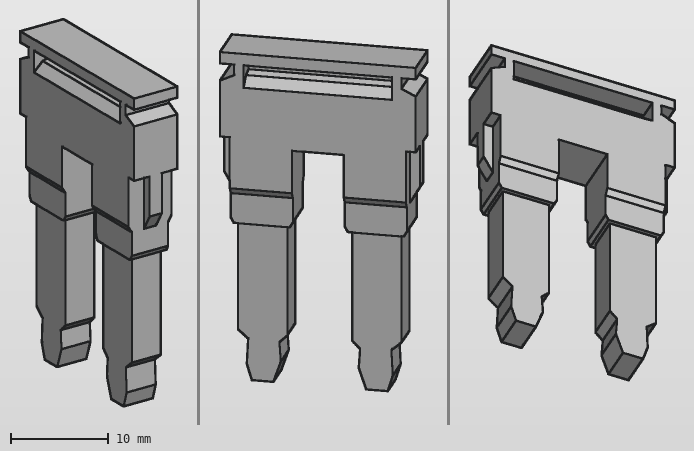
import cadquery as cq

WIDTH = 20.6
THICKNESS = 5.4
HEIGHT = 35.9
HALF_WIDTH = WIDTH / 2

CAP_BOTTOM = 34.65
NECK_HALF_WIDTH = 8.8
NECK_BOTTOM = 33.5
SHOULDER_TOP = 32.78

LEG_OUTER = 9.25
LEG_INNER = 2.73
LEG_TOP = 26.67
ARCH_TOP = 25.75
THIN_START = 21.1
THIN_END = 20.43
SLEEVE_THICKNESS = 4.52
SLEEVE_BOTTOM = 17.2
SLEEVE_CHAMFER_WIDTH = 0.32
SLEEVE_CHAMFER_HEIGHT = 0.57

RIB_THICKNESS = 1.5
RIB_TAPER_TOP = 22.2
RIB_BOTTOM = 20.43

PIN_THICKNESS = 3.63
PIN_INNER = 3.4
PIN_OUTER = 8.6
PIN_INNER_STEP = 5.2
PIN_OUTER_STEP = 5.45
WAIST_INNER = (4.25, 4.38)
WAIST_OUTER = (7.55, 4.52)
BULGE_INNER = (4.1, 2.3)
BULGE_OUTER = (7.7, 1.75)
TIP_INNER = 4.9
TIP_OUTER = 7.15

RECESS_WIDTH = 15.58
RECESS_BOTTOM = 32.2
RECESS_SLOPE_TOP = 33.2
RECESS_LEDGE_TOP = 33.45
RECESS_SLOPE_DEPTH = 1.08
RECESS_DEPTH = 2.15


def extrude_front(points, thickness):
    """Extrude an XZ outline symmetrically about the Y = 0 plane."""
    return cq.Workplane("XZ").polyline(points).close().extrude(thickness / 2, both=True)


def both_sides(solid):
    """Join a solid with its mirror image across the YZ plane."""
    return solid.union(solid.mirror("YZ"))


def make_head():
    right_side = [
        (LEG_OUTER, LEG_TOP),
        (HALF_WIDTH, LEG_TOP),
        (HALF_WIDTH, SHOULDER_TOP),
        (NECK_HALF_WIDTH, NECK_BOTTOM),
        (NECK_HALF_WIDTH, CAP_BOTTOM),
        (HALF_WIDTH, CAP_BOTTOM),
        (HALF_WIDTH, HEIGHT),
    ]
    left_side = [(-x, z) for x, z in reversed(right_side)]
    arch = [
        (-LEG_OUTER, ARCH_TOP),
        (LEG_OUTER, ARCH_TOP),
    ]
    return extrude_front(right_side + left_side + arch, THICKNESS)


def make_leg():
    """Right leg: full thickness at the top, sloping in to a thinner, chamfered sleeve."""
    chamfer_top = SLEEVE_BOTTOM + SLEEVE_CHAMFER_HEIGHT
    front_outline = [
        (LEG_INNER, LEG_TOP),
        (LEG_INNER, chamfer_top),
        (LEG_INNER + SLEEVE_CHAMFER_WIDTH, SLEEVE_BOTTOM),
        (LEG_OUTER - SLEEVE_CHAMFER_WIDTH, SLEEVE_BOTTOM),
        (LEG_OUTER, chamfer_top),
        (LEG_OUTER, LEG_TOP),
    ]
    half_top = THICKNESS / 2
    half_sleeve = SLEEVE_THICKNESS / 2
    right_profile = [
        (half_sleeve, SLEEVE_BOTTOM),
        (half_sleeve, THIN_END),
        (half_top, THIN_START),
        (half_top, LEG_TOP),
    ]
    left_profile = [(-y, z) for y, z in reversed(right_profile)]
    side_profile = cq.Workplane("YZ").polyline(right_profile + left_profile).close()
    return extrude_front(front_outline, THICKNESS).intersect(side_profile.extrude(LEG_OUTER))


def make_rib():
    outline = [
        (LEG_OUTER, LEG_TOP),
        (HALF_WIDTH, LEG_TOP),
        (HALF_WIDTH, RIB_TAPER_TOP),
        (LEG_OUTER, RIB_BOTTOM),
    ]
    return extrude_front(outline, RIB_THICKNESS)


def make_pin():
    """Right pin: a flat blade with a notched waist and a tapered tip."""
    outline = [
        (PIN_INNER, SLEEVE_BOTTOM),
        (PIN_INNER, PIN_INNER_STEP),
        WAIST_INNER,
        BULGE_INNER,
        (TIP_INNER, 0),
        (TIP_OUTER, 0),
        BULGE_OUTER,
        WAIST_OUTER,
        (PIN_OUTER, PIN_OUTER_STEP),
        (PIN_OUTER, SLEEVE_BOTTOM),
    ]
    return extrude_front(outline, PIN_THICKNESS)


def make_grip_recess():
    """Front recess cutter with a sloped floor rising to a narrow inner ledge."""
    face = -THICKNESS / 2
    profile = [
        (face, CAP_BOTTOM),
        (face, RECESS_BOTTOM),
        (face + RECESS_SLOPE_DEPTH, RECESS_SLOPE_TOP),
        (face + RECESS_DEPTH, RECESS_LEDGE_TOP),
        (face + RECESS_DEPTH, CAP_BOTTOM),
    ]
    return cq.Workplane("YZ").polyline(profile).close().extrude(RECESS_WIDTH / 2, both=True)


legs = both_sides(make_leg())
ribs = both_sides(make_rib())
pins = both_sides(make_pin())
recess = make_grip_recess()

result = make_head().union(legs).union(ribs).union(pins)
result = result.cut(recess).cut(recess.mirror("XZ"))